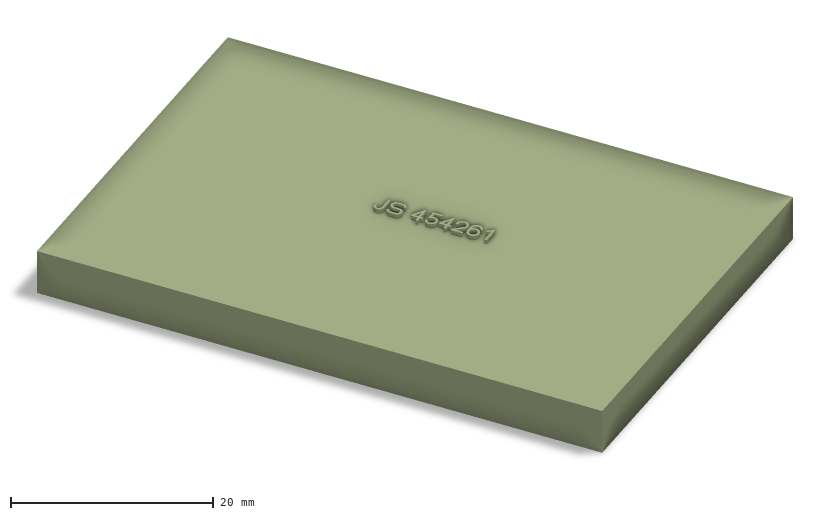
import cadquery as cq
import math

PLATE_LENGTH = 62.5
PLATE_WIDTH = 42.0
PLATE_THICKNESS = 5.0

PART_NUMBER = "JS 454261"
RELIEF = 0.5
HEIGHT = 2.0
STROKE = 0.25
TEXT_START_X = -4.86

DIGIT_CELL = 1.545
CELLS = {"J": 1.39, "S": 1.85, " ": 0.77}

SIDE_GAP = 0.09
LEFT = SIDE_GAP + STROKE / 2
RIGHT = DIGIT_CELL - SIDE_GAP - STROKE / 2
MIDDLE = DIGIT_CELL / 2
BOTTOM = STROKE / 2
TOP = HEIGHT - STROKE / 2
BOWL_RADIUS = (RIGHT - LEFT) / 2

J_LEFT = 0.21
J_RIGHT = 1.04
S_LEFT = 0.22
S_RIGHT = CELLS["S"] - S_LEFT
HOOK_END_ANGLE = 20
FIVE_BOWL_RADIUS = 0.53
FIVE_BOWL_START_ANGLE = 135
FOUR_STEM_X = 1.02
FOUR_BAR_Y = 0.62
TWO_NECK_ANGLE = -35
ONE_STEM_X = 0.91
ONE_FLAG_X = 0.46
ONE_FLAG_DROP = 0.45


def on_circle(center, radius, angle):
    """Point at an angle, in degrees, on a circle."""
    return (
        center[0] + radius * math.cos(math.radians(angle)),
        center[1] + radius * math.sin(math.radians(angle)),
    )


def start(point):
    return cq.Workplane("XY").moveTo(*point)


def arc(path, center, radius, start_angle, end_angle):
    """Continue a path along a circle, from the start angle to the end angle."""
    return path.threePointArc(
        on_circle(center, radius, (start_angle + end_angle) / 2),
        on_circle(center, radius, end_angle),
    )


def thicken(path):
    """Turn a centreline into a round-ended raised stroke."""
    return path.wire().offset2D(STROKE / 2).extrude(RELIEF)


def make_j():
    radius = (J_RIGHT - J_LEFT) / 2
    center = (J_LEFT + radius, BOTTOM + radius)
    path = start((J_RIGHT, TOP)).lineTo(J_RIGHT, center[1])
    return thicken(arc(path, center, radius, 0, -180))


def make_s():
    radius = (TOP - BOTTOM) / 4
    inner_left = S_LEFT + radius
    inner_right = S_RIGHT - radius
    upper_y = TOP - radius
    lower_y = BOTTOM + radius
    path = start(on_circle((inner_right, upper_y), radius, HOOK_END_ANGLE))
    path = arc(path, (inner_right, upper_y), radius, HOOK_END_ANGLE, 90).lineTo(inner_left, TOP)
    path = arc(path, (inner_left, upper_y), radius, 90, 270).lineTo(inner_right, HEIGHT / 2)
    path = arc(path, (inner_right, lower_y), radius, 90, -90).lineTo(inner_left, BOTTOM)
    path = arc(path, (inner_left, lower_y), radius, -90, HOOK_END_ANGLE - 180)
    return thicken(path)


def make_four():
    stem = cq.Workplane("XY", origin=(FOUR_STEM_X, HEIGHT / 2)).rect(STROKE, HEIGHT).extrude(RELIEF)
    arms = thicken(start((FOUR_STEM_X, TOP)).lineTo(LEFT, FOUR_BAR_Y).lineTo(RIGHT, FOUR_BAR_Y))
    return stem.union(arms)


def make_five():
    center = (RIGHT - FIVE_BOWL_RADIUS, BOTTOM + FIVE_BOWL_RADIUS)
    neck = on_circle(center, FIVE_BOWL_RADIUS, FIVE_BOWL_START_ANGLE)
    path = start((RIGHT, TOP)).lineTo(neck[0], TOP).lineTo(*neck)
    end_angle = HOOK_END_ANGLE - 180
    return thicken(arc(path, center, FIVE_BOWL_RADIUS, FIVE_BOWL_START_ANGLE, end_angle))


def make_two():
    center = (MIDDLE, TOP - BOWL_RADIUS)
    path = start((LEFT, center[1]))
    path = arc(path, center, BOWL_RADIUS, 180, TWO_NECK_ANGLE)
    return thicken(path.lineTo(LEFT, BOTTOM).lineTo(RIGHT, BOTTOM))


def make_six():
    bowl_center = (MIDDLE, BOTTOM + BOWL_RADIUS)
    hook_center = (MIDDLE, TOP - BOWL_RADIUS)
    bowl = (
        cq.Workplane("XY", origin=bowl_center)
        .circle(BOWL_RADIUS + STROKE / 2)
        .circle(BOWL_RADIUS - STROKE / 2)
        .extrude(RELIEF)
    )
    stem = start((LEFT, bowl_center[1])).lineTo(LEFT, hook_center[1])
    return bowl.union(thicken(arc(stem, hook_center, BOWL_RADIUS, 180, HOOK_END_ANGLE)))


def make_one():
    path = start((ONE_STEM_X, BOTTOM)).lineTo(ONE_STEM_X, TOP)
    return thicken(path.lineTo(ONE_FLAG_X, TOP - ONE_FLAG_DROP))


MAKERS = {
    "J": make_j,
    "S": make_s,
    "1": make_one,
    "2": make_two,
    "4": make_four,
    "5": make_five,
    "6": make_six,
}


def make_part_number():
    """The raised characters, side by side along X with their feet on Y = 0."""
    characters = []
    cell_x = TEXT_START_X
    for name in PART_NUMBER:
        if name in MAKERS:
            character = MAKERS[name]().translate((cell_x, 0, PLATE_THICKNESS))
            characters.append(character.solids().val())
        cell_x += CELLS.get(name, DIGIT_CELL)
    return characters


plate = cq.Workplane("XY").box(
    PLATE_LENGTH, PLATE_WIDTH, PLATE_THICKNESS, centered=(True, True, False)
)
raised_characters = make_part_number()
result = cq.Compound.makeCompound([plate.val(), *raised_characters])